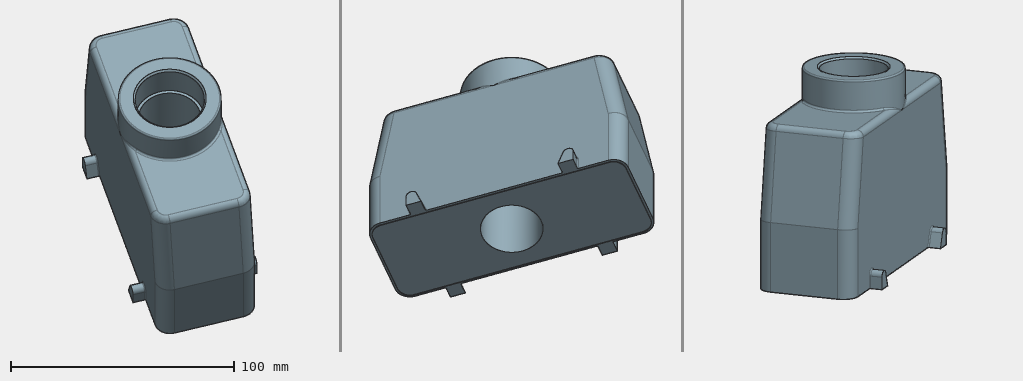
import cadquery as cq
import math

body_length = 123.0
body_width = 46.2
body_bottom = 0.4
body_top = 76.1
shoulder_height = 32.8
end_lean = 9.4
corner_radius = 7.0
top_edge_radius = 3.1
foot_inset = 1.1

collar_radius = body_width / 2
collar_top = 91.0
collar_edge_radius = 0.7
collar_root_radius = 1.0
bore_radius = 15.5
bore_depth = 14.8
bore_chamfer = 0.9
cable_hole_radius = 14.0

peg_span = 58.0
peg_outer_x = 39.9
peg_top = 8.7
peg_radius = 2.5
peg_flank_angle = 20.0
peg_root_radius = 0.5

tolerance = 0.01


def make_body():
    """Solid hood with leaning end walls and rounded edges."""
    half_bottom = body_length / 2
    lean_run = (body_top - shoulder_height) * math.tan(math.radians(end_lean))
    half_top = half_bottom - lean_run
    outline = [
        (-half_bottom, body_bottom),
        (half_bottom, body_bottom),
        (half_bottom, shoulder_height),
        (half_top, body_top),
        (-half_top, body_top),
        (-half_bottom, shoulder_height),
    ]
    body = cq.Workplane("XZ").polyline(outline).close().extrude(body_width / 2, both=True)
    body = body.edges("not(|X or |Y)").fillet(corner_radius)
    return body.faces(">Z").edges().fillet(top_edge_radius)


def make_foot():
    """Thin foot, set in from the body outline."""
    return (
        cq.Workplane("XY")
        .rect(body_length - 2 * foot_inset, body_width - 2 * foot_inset)
        .extrude(body_bottom)
        .edges("|Z")
        .fillet(corner_radius - foot_inset)
    )


def add_collar(body):
    """Round collar blended into the rounded top of the body."""
    collar_start = body_top - top_edge_radius
    collar = (
        cq.Workplane("XY")
        .workplane(offset=collar_start)
        .circle(collar_radius)
        .extrude(collar_top - collar_start)
        .faces(">Z")
        .edges()
        .fillet(collar_edge_radius)
    )
    root_box = cq.selectors.BoxSelector(
        (-collar_radius, -collar_radius, collar_start + tolerance),
        (collar_radius, collar_radius, body_top + tolerance),
    )
    return body.union(collar).edges(root_box).fillet(collar_root_radius)


def cut_cable_passage(hood):
    """Wide chamfered bore in the collar, continued by a narrower through hole."""
    passage = (
        cq.Workplane("XY")
        .workplane(offset=collar_top)
        .circle(bore_radius)
        .extrude(-bore_depth)
    )
    through = cq.Workplane("XY").circle(cable_hole_radius).extrude(collar_top)
    hood = hood.cut(passage).cut(through)
    rim = cq.selectors.RadiusNthSelector(0)
    return hood.faces(">Z").edges(rim).chamfer(bore_chamfer)


def make_peg_pair():
    """Bar with the peg outline on the -X side, passing through both long walls."""
    lean = math.radians(peg_flank_angle)
    centre_x = peg_radius - peg_outer_x
    centre_z = peg_top - peg_radius
    tangent_x = centre_x + peg_radius * math.cos(lean)
    tangent_z = centre_z + peg_radius * math.sin(lean)
    foot_x = tangent_x + (tangent_z - body_bottom) * math.tan(lean)
    return (
        cq.Workplane("XZ")
        .moveTo(-peg_outer_x, body_bottom)
        .lineTo(-peg_outer_x, centre_z)
        .threePointArc((centre_x, peg_top), (tangent_x, tangent_z))
        .lineTo(foot_x, body_bottom)
        .close()
        .extrude(peg_span / 2, both=True)
    )


def add_pegs(hood):
    """Four pegs, with a small fillet where each meets the wall."""
    pegs = make_peg_pair()
    hood = hood.union(pegs).union(pegs.mirror("YZ"))
    for wall in (-body_width / 2, body_width / 2):
        root_box = cq.selectors.BoxSelector(
            (-peg_outer_x - tolerance, wall - tolerance, body_bottom + tolerance),
            (peg_outer_x + tolerance, wall + tolerance, peg_top + tolerance),
        )
        hood = hood.edges(root_box).fillet(peg_root_radius)
    return hood


hood = add_pegs(make_body())
hood = add_collar(hood).union(make_foot())
result = cut_cable_passage(hood)